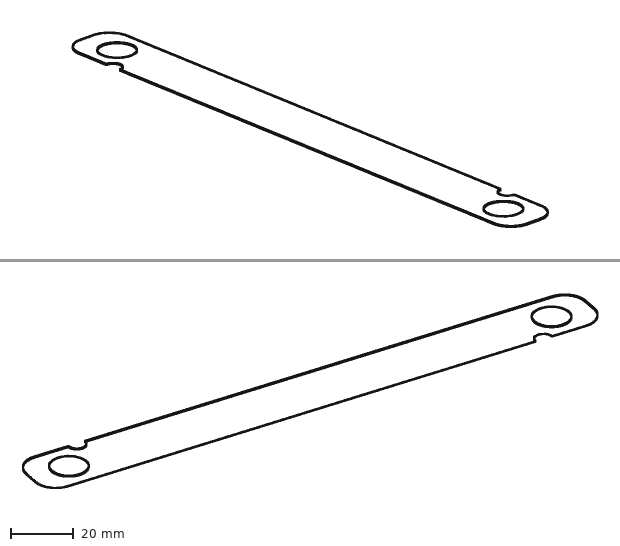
import cadquery as cq

length = 208.3
width = 20.8
thickness = 0.4
corner_radius = 7.5

hole_diameter = 12.7
hole_offset = 90.0

notch_radius = 3.1
notch_offset = 80.8


def make_strip():
    strip = cq.Workplane("XY").box(length, width, thickness)
    return strip.edges("|Z").fillet(corner_radius)


def make_cutter(x, y, radius):
    """Upright cylinder that passes through the full thickness."""
    return cq.Workplane("XY").center(x, y).circle(radius).extrude(thickness, both=True)


result = make_strip()
for side in (-1, 1):
    result = result.cut(make_cutter(side * hole_offset, 0, hole_diameter / 2))
    result = result.cut(make_cutter(side * notch_offset, side * width / 2, notch_radius))